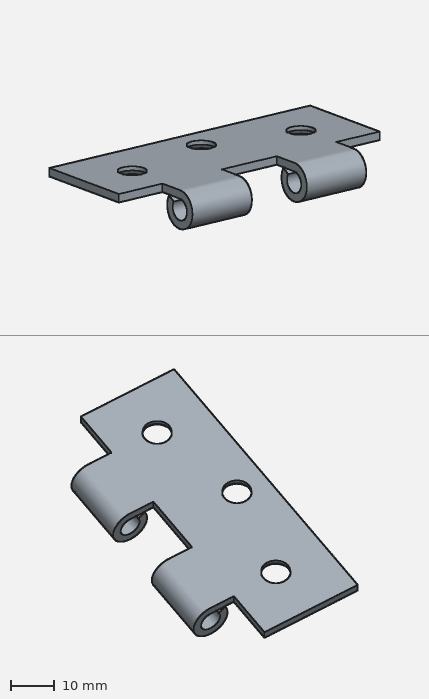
import cadquery as cq
import math

length = 76.2
leaf_width = 25.45
thickness = 2.05

overall_width = 36.4
outer_radius = 4.65
inner_radius = outer_radius - thickness
knuckle_length = 17.4
knuckle_offset = 16.7
curl_end_angle = 148.0

hole_diameter = 6.7
outer_hole_x = 13.5
outer_hole_offset = 24.6
middle_hole_x = 7.9
countersink_depth = 1.1
countersink_angle = 60.0

top_z = 2 * outer_radius
pin_x = overall_width - outer_radius
pin_z = outer_radius


def on_curl(radius, angle):
    """Point (X, Z) at an angle in degrees around the pin axis."""
    a = math.radians(angle)
    return pin_x + radius * math.cos(a), pin_z + radius * math.sin(a)


def make_hole_cutter():
    """Through hole about the Z axis from Z = 0, widening towards the underside."""
    hole_radius = hole_diameter / 2
    flare = countersink_depth * math.tan(math.radians(countersink_angle / 2))
    return (
        cq.Workplane("XZ")
        .lineTo(hole_radius + flare, 0)
        .lineTo(hole_radius, countersink_depth)
        .lineTo(hole_radius, thickness)
        .lineTo(0, thickness)
        .close()
        .revolve(360, (0, 0, 0), (0, 1, 0))
    )


def make_leaf():
    holes = [
        (outer_hole_x, outer_hole_offset),
        (middle_hole_x, 0),
        (outer_hole_x, -outer_hole_offset),
    ]
    bottom_z = top_z - thickness
    leaf = (
        cq.Workplane("XY", origin=(0, 0, bottom_z))
        .rect(leaf_width, length, centered=(False, True))
        .extrude(thickness)
    )
    for x, y in holes:
        leaf = leaf.cut(make_hole_cutter().translate((x, y, bottom_z)))
    return leaf


def make_knuckle(center_y):
    """Tab leaving the leaf and rolling down and around the pin axis."""
    return (
        cq.Workplane("XZ", origin=(0, center_y + knuckle_length / 2, 0))
        .moveTo(leaf_width, top_z)
        .lineTo(pin_x, top_z)
        .threePointArc(on_curl(outer_radius, -60), on_curl(outer_radius, curl_end_angle))
        .lineTo(*on_curl(inner_radius, curl_end_angle))
        .threePointArc(on_curl(inner_radius, -60), on_curl(inner_radius, 90))
        .lineTo(leaf_width, top_z - thickness)
        .close()
        .extrude(knuckle_length)
    )


result = make_leaf()
for side in (-1, 1):
    result = result.union(make_knuckle(side * knuckle_offset))